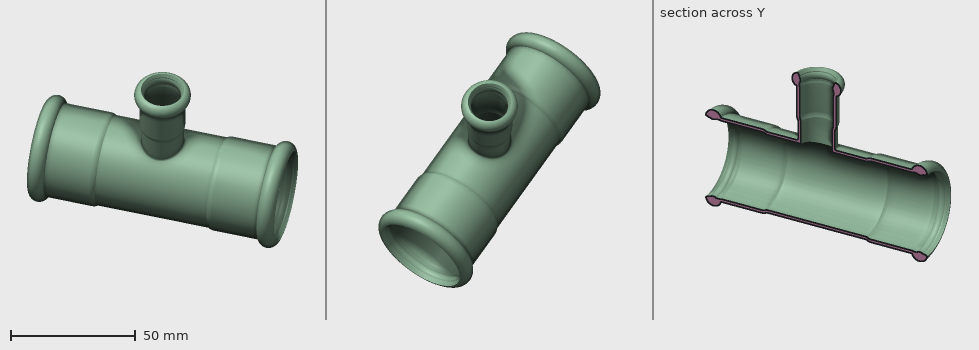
import cadquery as cq
import math

run_length = 102.5
branch_height = 49.2
junction_fillet = 0.7

run_socket = {
    "bead_diameter": 43.7,
    "bead_width": 7.4,
    "lip_diameter": 37.0,
    "socket_diameter": 38.4,
    "socket_bore": 35.4,
    "seat_diameter": 35.8,
    "seal_diameter": 34.7,
    "mouth_depth": 1.4,
    "seal_start": 1.9,
    "seal_end": 5.0,
    "seat_end": 6.4,
    "bevel_end": 7.3,
    "socket_depth": 26.0,
    "taper_length": 2.2,
    "pipe_diameter": 37.0,
    "pipe_bore": 34.0,
}
branch_socket = {
    "bead_diameter": 22.8,
    "bead_width": 6.5,
    "lip_diameter": 17.2,
    "socket_diameter": 18.3,
    "socket_bore": 15.3,
    "seat_diameter": 15.7,
    "seal_diameter": 14.8,
    "mouth_depth": 1.3,
    "seal_start": 1.7,
    "seal_end": 4.8,
    "seat_end": 5.5,
    "bevel_end": 6.6,
    "socket_depth": 19.9,
    "taper_length": 1.9,
    "pipe_diameter": 17.2,
    "pipe_bore": 14.2,
}


def tapered_end(profile, radius_start, radius_end, depth, length):
    """Add an arc that leaves the socket tangentially and closes onto the pipe."""
    drop = radius_start - radius_end
    arc_radius = (length**2 + drop**2) / (2 * drop)
    half_angle = math.asin(length / arc_radius) / 2
    middle = (
        radius_start - arc_radius * (1 - math.cos(half_angle)),
        depth + arc_radius * math.sin(half_angle),
    )
    return profile.threePointArc(middle, (radius_end, depth + length))


def revolve_profile(profile, total_depth):
    """Close a (radius, depth) profile along the axis and spin it about that axis."""
    return profile.lineTo(0, total_depth).close().revolve(360, (0, 0, 0), (0, 1, 0))


def outer_body(s, total_depth):
    """Solid outside form: bead, socket, taper and pipe."""
    lip_radius = s["lip_diameter"] / 2
    crest_radius = s["bead_diameter"] / 2
    socket_radius = s["socket_diameter"] / 2
    pipe_radius = s["pipe_diameter"] / 2
    half_width = s["bead_width"] / 2
    bulge = crest_radius - lip_radius
    arc_radius = (half_width**2 + bulge**2) / (2 * bulge)
    rise = socket_radius - (crest_radius - arc_radius)
    bead_end = half_width + math.sqrt(arc_radius**2 - rise**2)
    profile = (
        cq.Workplane("XY")
        .lineTo(lip_radius, 0)
        .threePointArc((crest_radius, half_width), (socket_radius, bead_end))
        .lineTo(socket_radius, s["socket_depth"])
    )
    profile = tapered_end(profile, socket_radius, pipe_radius, s["socket_depth"], s["taper_length"])
    return revolve_profile(profile.lineTo(pipe_radius, total_depth), total_depth)


def inner_bore(s, total_depth):
    """Solid inside form: mouth cone, bulging seal ring, bevelled seat, socket bore and pipe bore."""
    seat_radius = s["seat_diameter"] / 2
    bore_radius = s["socket_bore"] / 2
    pipe_radius = s["pipe_bore"] / 2
    seal_middle = (s["seal_start"] + s["seal_end"]) / 2
    profile = (
        cq.Workplane("XY")
        .lineTo(s["lip_diameter"] / 2, 0)
        .lineTo(seat_radius, s["mouth_depth"])
        .lineTo(seat_radius, s["seal_start"])
        .threePointArc((s["seal_diameter"] / 2, seal_middle), (seat_radius, s["seal_end"]))
        .lineTo(seat_radius, s["seat_end"])
        .lineTo(bore_radius, s["bevel_end"])
        .lineTo(bore_radius, s["socket_depth"])
    )
    profile = tapered_end(profile, bore_radius, pipe_radius, s["socket_depth"], s["taper_length"])
    return revolve_profile(profile.lineTo(pipe_radius, total_depth), total_depth)


def place_on_run(half):
    """Move a left half to X and join it with its mirror image."""
    left = half.rotate((0, 0, 0), (0, 0, 1), -90).translate((-run_length / 2, 0, 0))
    return left.union(left.mirror("YZ"))


def place_on_branch(form):
    """Stand a form on Z with its mouth at the top."""
    return form.rotate((0, 0, 0), (1, 0, 0), -90).translate((0, 0, branch_height))


def junction_edges(body):
    """Edges where the branch pipe meets the run pipe."""
    reach = run_socket["pipe_diameter"] / 2
    margin = 1.0
    width = branch_socket["pipe_diameter"] + margin
    zone = cq.selectors.BoxSelector(
        (-width / 2, -width / 2, reach / 2), (width / 2, width / 2, reach + margin), boundingbox=True
    )
    return body.edges(zone)


outside = place_on_run(outer_body(run_socket, run_length / 2))
outside = outside.union(place_on_branch(outer_body(branch_socket, branch_height)))
outside = junction_edges(outside).fillet(junction_fillet)

run_bore = place_on_run(inner_bore(run_socket, run_length / 2))
branch_bore = place_on_branch(inner_bore(branch_socket, branch_height))

result = outside.cut(run_bore).cut(branch_bore)